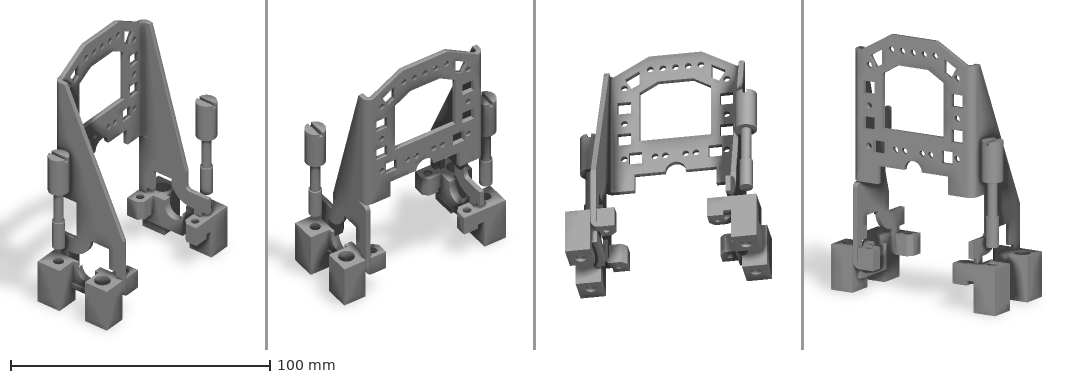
import cadquery as cq
import math


depth = 34.0
half_width = 75.0 / 2
height = 105.5
mid_x = depth / 2
clear = 105.5

sheet = 2.0
bend_outer = 3.0
bend_inner = bend_outer - sheet
wing_outer = 27.4
wing_inner = wing_outer - sheet
fold_y = wing_outer - bend_outer
wing_top = 97.6
wing_top_depth = 5.2
slope_end = 36.3
bend_bottom = 45.3

pad_width = 7.0
leg_width = pad_width / 2
strap_x = 11.1
strap_band = 6.9
strap_top = 28.0
strap_inner_radius = 2.0
strap_outer_radius = strap_inner_radius + strap_band
strap_bottom = strap_top - strap_band
window_top = 30.4
relief_height = 0.8
relief_depth = 5.0
relief_round = 2.0

foot_bottom = 10.4
foot_top = foot_bottom + sheet
foot_end = 18.1
foot_chamfer = 2.0
foot_hole_y = 21.8
foot_hole_diameter = 2.5
lug_recess_diameter = 3.4
lug_recess_depth = 1.5

crown_half = 10.3
plate_shoulder_y = 24.1
plate_shoulder_z = 97.5
tab_inner_y = 16.0
plate_bottom = 52.6
notch_radius = 4.0
opening_half = 14.0
opening_bottom = 67.6
opening_shoulder = 89.5
opening_top = 93.7
opening_top_half = 6.9
plate_hole_diameter = 2.5
crown_hole_z = 99.5
crown_hole_pitch = 5.0
side_hole_y = 20.0
side_hole_z = 76.0
side_hole_pitch = 16.0
low_hole_pitch = 4.0
square = 5.2
square_offset = 7.1
low_square_y = 15.6
slant_angle = math.radians(30)
slant_corner_y = 19.7
slant_corner_z = 96.0
slant_inner_y = 14.1

block_top = 18.7
post_width = 10.8
post_inner = 27.6
short_post_bottom = 0.6
slot_inner = 25.1
web_outer = 28.9
web_bottom = 5.8
web_inner = 25.6
saddle_width = 8.8
saddle_radius = saddle_width / 2
saddle_z = 16.1
ledge_outer = 30.1
ledge_top = 8.9
ledge_chamfer = ledge_outer - web_outer

screw_x = 6.2
screw_y = 32.4
screw_bottom = 25.7
shank_bottom = 37.6
head_bottom = 51.9
screw_top = 67.9
tip_diameter = 5.2
shank_diameter = 4.0
head_diameter = 8.3
driver_slot = 1.6
post_hole_diameter = 4.3
counterbore_diameter = 6.5
counterbore_depth = 8.4


def box(x0, x1, y0, y1, z0, z1):
    return cq.Workplane("XY").box(x1 - x0, y1 - y0, z1 - z0, centered=False).translate((x0, y0, z0))


def half_turn(body):
    return body.rotate((mid_x, 0, 0), (mid_x, 0, 1), 180)


def cylinder(x, y, z0, z1, diameter):
    return cq.Workplane("XY", origin=(x, y, z0)).circle(diameter / 2).extrude(z1 - z0)


def quarter_bend(plane, length):
    """Quarter ring about the plane's origin, between its -x and -y directions."""
    diagonal = math.sqrt(0.5)
    return (
        cq.Workplane(plane)
        .moveTo(-bend_outer, 0)
        .threePointArc((-bend_outer * diagonal, -bend_outer * diagonal), (0, -bend_outer))
        .lineTo(0, -bend_inner)
        .threePointArc((-bend_inner * diagonal, -bend_inner * diagonal), (-bend_inner, 0))
        .close()
        .extrude(length)
    )


def plate_squares():
    spots = [(side_hole_y, side_hole_z + square_offset), (side_hole_y, side_hole_z - square_offset)]
    spots.append((low_square_y, side_hole_z - side_hole_pitch))
    spots += [(-y, z) for y, z in spots]
    return cq.Workplane("YZ").pushPoints(spots).rect(square, square).extrude(sheet)


def plate_holes():
    low_z = side_hole_z - side_hole_pitch
    spots = [(i * crown_hole_pitch, crown_hole_z) for i in range(-2, 3)]
    for side in (-1, 1):
        spots += [(side * side_hole_y, side_hole_z + i * side_hole_pitch) for i in (-1, 0, 1)]
        spots += [(side * i * low_hole_pitch, low_z) for i in (1, 2)]
    return cq.Workplane("YZ").pushPoints(spots).circle(plate_hole_diameter / 2).extrude(sheet)


def slanted_window(side):
    """Square window turned along the sloping shoulder and cut off vertically on its inner side."""
    low_y = slant_corner_y - square * math.sin(slant_angle)
    low_z = slant_corner_z - square * math.cos(slant_angle)
    upper_rise = (slant_corner_y - slant_inner_y) * math.tan(slant_angle)
    lower_rise = (low_y - slant_inner_y) * math.tan(slant_angle)
    corners = [
        (side * slant_corner_y, slant_corner_z),
        (side * low_y, low_z),
        (side * slant_inner_y, low_z + lower_rise),
        (side * slant_inner_y, slant_corner_z + upper_rise),
    ]
    return cq.Workplane("YZ").polyline(corners).close().extrude(sheet)


def face_plate():
    right_half = [
        (crown_half, height),
        (plate_shoulder_y, plate_shoulder_z),
        (fold_y, plate_shoulder_z),
        (fold_y, bend_bottom),
        (tab_inner_y, bend_bottom),
        (tab_inner_y, plate_bottom),
    ]
    left_half = [(-y, z) for y, z in reversed(right_half)]
    plate = cq.Workplane("YZ").polyline(right_half + left_half).close().extrude(sheet)
    opening_right = [
        (opening_half, opening_bottom),
        (opening_half, opening_shoulder),
        (opening_top_half, opening_top),
    ]
    opening_left = [(-y, z) for y, z in reversed(opening_right)]
    plate = plate.cut(cq.Workplane("YZ").polyline(opening_right + opening_left).close().extrude(sheet))
    plate = plate.cut(cq.Workplane("YZ", origin=(0, 0, plate_bottom)).circle(notch_radius).extrude(sheet))
    plate = plate.cut(plate_squares()).cut(plate_holes())
    return plate.cut(slanted_window(-1)).cut(slanted_window(1))


def side_bend():
    """Vertical bend between the face plate and the -Y wing."""
    plane = cq.Plane(origin=(bend_outer, -fold_y, bend_bottom), xDir=(1, 0, 0), normal=(0, 0, 1))
    return quarter_bend(plane, wing_top - bend_bottom)


def wing_blank(slope_end_x):
    """Wing on the -Y side before its lower end is cut out, with a rear edge sloping down to slope_end_x."""
    upper_outline = [
        (0, slope_end),
        (0, bend_bottom),
        (bend_outer, bend_bottom),
        (bend_outer, wing_top),
        (wing_top_depth, wing_top),
        (slope_end_x, slope_end),
    ]
    upper = cq.Workplane("XZ", origin=(0, -wing_inner, 0)).polyline(upper_outline).close().extrude(sheet)
    return upper.union(box(0, depth, -wing_outer, -wing_inner, foot_bottom + bend_outer, slope_end))


def strap_cutout():
    """Opening under the -Y wing's curved strap, with the reliefs beside the two legs."""
    arc_x = strap_x - strap_inner_radius
    arc_z = strap_top + strap_inner_radius
    reach = strap_outer_radius * math.sqrt(0.5)
    opening = (
        cq.Workplane("XZ", origin=(0, -wing_inner, 0))
        .moveTo(pad_width, 0)
        .lineTo(pad_width, strap_bottom)
        .lineTo(arc_x, strap_bottom)
        .threePointArc((arc_x + reach, arc_z - reach), (arc_x + strap_outer_radius, arc_z))
        .lineTo(arc_x + strap_outer_radius, window_top)
        .lineTo(depth - pad_width, window_top)
        .lineTo(depth - pad_width, 0)
        .close()
        .extrude(sheet)
    )
    for x in (0, depth - pad_width):
        opening = opening.union(box(x, x + leg_width, -wing_outer, -wing_inner, 0, strap_bottom))
    return opening


def strap_corner_cut(top):
    """Clears the -Y wing above the strap's free end, up to the given height."""
    corner = box(-clear, strap_x, -wing_outer, -wing_inner, strap_top, top)
    return corner.edges("|Y and >X and <Z").fillet(strap_inner_radius)


def back_leg_relief():
    """Gap under the +Y bend, and the rounded top corner of the leg below it."""
    relief_bottom = bend_bottom - relief_height
    gap = box(0, relief_depth, wing_inner, wing_outer, relief_bottom, bend_bottom)
    round_bottom = relief_bottom - relief_round
    corner = box(0, relief_round, wing_inner, wing_outer, round_bottom, relief_bottom)
    rounding = (
        cq.Workplane("XZ", origin=(relief_round, wing_inner, round_bottom))
        .circle(relief_round)
        .extrude(-sheet)
    )
    return gap.union(corner.cut(rounding))


def front_wing():
    return wing_blank(depth).cut(strap_cutout()).cut(strap_corner_cut(bend_bottom))


def back_wing():
    """Wing on the +Y side: its steeper rear edge ends where the turned strap begins."""
    wing = wing_blank(depth - strap_x).mirror("XZ")
    wing = wing.cut(half_turn(strap_cutout())).cut(half_turn(strap_corner_cut(slope_end)))
    return wing.cut(back_leg_relief())


def lug_outline(x, inward, z0, z1, far_y):
    """Tongue of the foot outline from x, chamfered on its inward side, reaching -Y to far_y."""
    tongue = box(x, x + pad_width, -far_y, -foot_end, z0, z1)
    selector = ">X" if inward > 0 else "<X"
    return tongue.edges("|Z and >Y").edges(selector).chamfer(foot_chamfer)


def foot(x, inward):
    """One -Y foot: the bend under the leg and the flange below the lug. Each leg is the flange's +X half."""
    flange = lug_outline(x, inward, foot_bottom, foot_top, fold_y)
    plane = cq.Plane(
        origin=(x + leg_width, -fold_y, foot_bottom + bend_outer), xDir=(0, 1, 0), normal=(1, 0, 0)
    )
    bend = quarter_bend(plane, leg_width)
    hole = cylinder(x + leg_width, -foot_hole_y, foot_bottom, foot_top, foot_hole_diameter)
    return flange.union(bend).cut(hole)


def make_bracket():
    body = face_plate().union(side_bend()).union(side_bend().mirror("XZ"))
    body = body.union(front_wing()).union(back_wing())
    for x, inward in ((0, 1), (depth - pad_width, -1)):
        body = body.union(foot(x, inward)).union(half_turn(foot(x, inward)))
    return body


def web():
    """Saddle web between the posts, thickened inwards from the saddle's -X side to the +X lug."""
    outline = [
        (-web_inner, web_bottom),
        (-web_outer, web_bottom),
        (-ledge_outer, web_bottom + ledge_chamfer),
        (-ledge_outer, ledge_top),
        (-web_outer, ledge_top),
        (-web_outer, block_top),
        (-web_inner, block_top),
    ]
    body = (
        cq.Workplane("YZ", origin=(post_width, 0, 0))
        .polyline(outline)
        .close()
        .extrude(depth - 2 * post_width)
    )
    thick_start = mid_x - saddle_radius
    body = body.cut(box(0, thick_start, -post_inner, 0, 0, block_top))
    lug_joint = depth - leg_width
    return body.union(box(thick_start, lug_joint, -post_inner, -web_inner, web_bottom, block_top))


def saddle_cut():
    groove = cq.Workplane("XZ", origin=(mid_x, 0, saddle_z)).circle(saddle_radius).extrude(half_width)
    left, right = mid_x - saddle_radius, mid_x + saddle_radius
    return groove.union(box(left, right, -half_width, 0, saddle_z, block_top))


def lug(x, inward):
    """Lug over a foot, slotted on its +X half where the bracket leg passes."""
    body = lug_outline(x, inward, foot_top, block_top, post_inner)
    slot = box(x + leg_width, x + pad_width, -post_inner, -slot_inner, foot_top, block_top)
    hole = cylinder(x + leg_width, -foot_hole_y, foot_top, block_top, foot_hole_diameter)
    recess_bottom = block_top - lug_recess_depth
    recess = cylinder(x + leg_width, -foot_hole_y, recess_bottom, block_top, lug_recess_diameter)
    return body.cut(slot).cut(hole).cut(recess)


def make_block(bracket_body):
    """-Y block, fitted round the inside of the bracket's foot bends."""
    right_post = depth - post_width
    body = box(0, post_width, -half_width, -post_inner, 0, block_top)
    body = body.union(box(right_post, depth, -half_width, -post_inner, short_post_bottom, block_top))
    body = body.union(web()).cut(saddle_cut())
    for x, inward in ((0, 1), (depth - pad_width, -1)):
        body = body.union(lug(x, inward))
    for x in (screw_x, depth - screw_x):
        body = body.cut(cylinder(x, -screw_y, 0, block_top, post_hole_diameter))
    counterbore_bottom = block_top - counterbore_depth
    body = body.cut(cylinder(depth - screw_x, -screw_y, counterbore_bottom, block_top, counterbore_diameter))
    return body.cut(bracket_body)


def make_screw():
    body = cylinder(screw_x, -screw_y, screw_bottom, shank_bottom, tip_diameter)
    body = body.union(cylinder(screw_x, -screw_y, shank_bottom, head_bottom, shank_diameter))
    body = body.union(cylinder(screw_x, -screw_y, head_bottom, screw_top, head_diameter))
    slot_y = -screw_y - driver_slot / 2
    return body.cut(
        box(-clear, clear, slot_y, slot_y + driver_slot, screw_top - driver_slot, screw_top)
    )


bracket = make_bracket()
block = make_block(bracket)
screw = make_screw()

blocks_and_screws = []
for body in (block, screw):
    blocks_and_screws += [body.val(), half_turn(body).val()]

result = cq.Compound.makeCompound([bracket.val(), *blocks_and_screws])